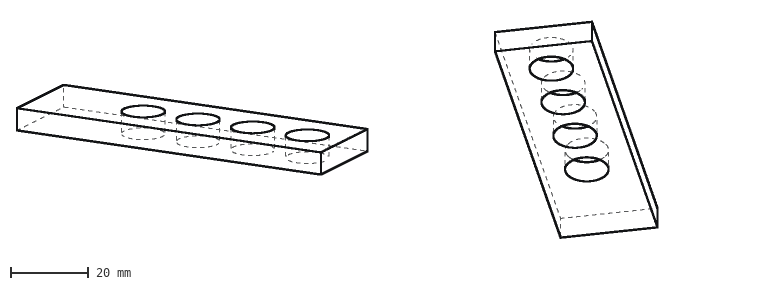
import cadquery as cq

length = 88.9
width = 25.4
thickness = 6.0

hole_diameter = 11.2
hole_count = 4
hole_pitch = 16.0
end_distance = 10.8

last_hole_x = length / 2 - end_distance
hole_centres = [(last_hole_x - i * hole_pitch, 0) for i in range(hole_count)]

plate = cq.Workplane("XY").box(length, width, thickness)

result = plate.faces(">Z").workplane().pushPoints(hole_centres).hole(hole_diameter)